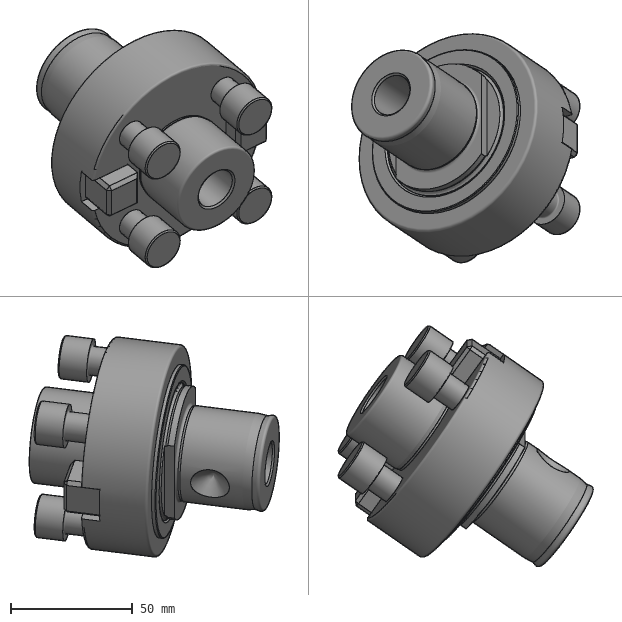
import cadquery as cq
import math


spindle_length = 97.0
spindle_radius = 40.0 / 2
undercut_radius = 39.3 / 2
bore_radius = 17.5 / 2
bore_chamfer = 0.8
front_end_fillet = 1.2
rear_end_fillet = 1.0

v_groove_start = 1.3
v_groove_bottom = 3.4
v_groove_end = 7.1
v_groove_depth = 0.5

dimple_x = 20.9
dimple_radius = 8.1

collar_front = 35.6
collar_radius = 27.7
collar_flat_distance = 21.0
collar_flat_end = 39.8
collar_rim_end = 38.3
undercut_taper_length = 1.0
stub_undercut_fillet = 1.2
collar_groove_radius = 27.3
collar_groove_end = 39.3

neck_radius = 19.4
neck_length = 1.0
rear_step_length = 0.4
rear_taper_length = 1.2

ring_front = 40.2
ring_rear = 42.0
ring_radius = 72.0 / 2
ring_bore_radius = 28.6
ring_bore_chamfer = 0.9
ring_edge_chamfer = 0.4

housing_radius = 88.0 / 2
housing_rear = 70.0
housing_front_fillet = 1.2
housing_rear_fillet = 1.0

key_width = 16.0
key_length = 15.9
key_front = 62.2
key_outer = 41.2
key_height = key_width
key_chamfer = 1.6
key_sides = (-1, 1)

screw_offset = 23.6
screw_places = [(y * screw_offset, z * screw_offset) for y in (-1, 1) for z in (-1, 1)]
screw_radius = 12.0 / 2
screw_head_radius = 18.0 / 2
screw_head_front = 80.0
screw_head_length = 12.1
screw_neck_fillet = 0.6
screw_head_chamfer = 0.6
screw_depth = 3 * screw_radius



def cylinder(x_start, x_end, radius):
    """Solid cylinder along X."""
    return cq.Workplane("YZ", origin=(x_start, 0, 0)).circle(radius).extrude(x_end - x_start)


def revolve_about_x(profile):
    """Turn a closed (x, radius) profile around the X axis."""
    return profile.close().revolve(360, (0, 0, 0), (1, 0, 0))


def concave_corner(profile, x, radius, size):
    """Quarter-round flare from a cylinder at (x, radius) up to a shoulder."""
    shortfall = size * math.sqrt(0.5)
    middle = (x + shortfall, radius + size - shortfall)
    return profile.threePointArc(middle, (x + size, radius + size))



def make_spindle():
    stub_groove_end = collar_front - stub_undercut_fillet
    shoulder_flare = ring_bore_radius - collar_groove_radius
    rear_step = housing_rear + neck_length
    rear_taper = rear_step + rear_step_length

    profile = (
        cq.Workplane("XY")
        .moveTo(0, 0)
        .lineTo(0, spindle_radius)
        .lineTo(v_groove_start, spindle_radius)
        .lineTo(v_groove_bottom, spindle_radius - v_groove_depth)
        .lineTo(v_groove_end, spindle_radius)
        .lineTo(stub_groove_end - undercut_taper_length, spindle_radius)
        .lineTo(stub_groove_end, undercut_radius)
    )
    profile = concave_corner(profile, stub_groove_end, undercut_radius, stub_undercut_fillet)

    profile = (
        profile.lineTo(collar_front, collar_radius)
        .lineTo(collar_rim_end, collar_radius)
        .lineTo(collar_groove_end, collar_groove_radius)
    )
    profile = concave_corner(profile, collar_groove_end, collar_groove_radius, shoulder_flare)

    profile = (
        profile.lineTo(ring_rear, ring_bore_radius)
        .lineTo(ring_rear, neck_radius)
        .lineTo(rear_step, neck_radius)
        .lineTo(rear_step, undercut_radius)
        .lineTo(rear_taper, undercut_radius)
        .lineTo(rear_taper + rear_taper_length, spindle_radius)
        .lineTo(spindle_length, spindle_radius)
        .lineTo(spindle_length, 0)
    )
    spindle = revolve_about_x(profile)
    spindle = spindle.faces("<X").edges().fillet(front_end_fillet)
    spindle = spindle.faces(">X").edges().fillet(rear_end_fillet)

    spindle = spindle.cut(cylinder(0, spindle_length, bore_radius))
    bore_mouths = spindle.faces("<X or >X").edges(cq.selectors.RadiusNthSelector(0))
    spindle = bore_mouths.chamfer(bore_chamfer)

    return spindle.cut(collar_flats()).cut(stub_dimple())


def collar_flats():
    """Material removed to leave two parallel wrench flats on the collar."""
    length = collar_flat_end - collar_front
    middle_x = (collar_front + collar_flat_end) / 2
    cut_thickness = ring_bore_radius - collar_flat_distance
    offset = collar_flat_distance + cut_thickness / 2
    return (
        cq.Workplane("XY", origin=(middle_x, 0, 0))
        .pushPoints([(0, -offset), (0, offset)])
        .box(length, cut_thickness, 2 * ring_bore_radius)
    )


def stub_dimple():
    """Cone removed by the dimple, as deep as its mouth radius."""
    mouth = cq.Vector(dimple_x, spindle_radius, 0)
    inward = cq.Vector(0, -1, 0)
    return cq.Solid.makeCone(dimple_radius, 0, dimple_radius, mouth, inward)



def make_cover_ring():
    ring = cylinder(ring_front, ring_rear, ring_radius)
    ring = ring.faces("<X").edges().chamfer(ring_edge_chamfer)
    ring = ring.cut(cylinder(ring_front, ring_rear, ring_bore_radius))
    return ring.faces("<X").edges(cq.selectors.RadiusNthSelector(0)).chamfer(ring_bore_chamfer)



def make_housing():
    housing = cylinder(ring_rear, housing_rear, housing_radius)
    housing = housing.faces("<X").edges().fillet(housing_front_fillet)
    housing = housing.faces(">X").edges().fillet(housing_rear_fillet)
    housing = housing.cut(cylinder(ring_rear, housing_rear, neck_radius))

    for side in key_sides:
        housing = housing.cut(key_slot(side))

    screw_hole = cylinder(housing_rear - screw_depth, housing_rear, screw_radius)
    for y, z in screw_places:
        housing = housing.cut(screw_hole.translate((0, y, z)))
    return housing


def key_slot(side):
    """Slot for a key, open to the rear face and to the rim."""
    depth = housing_rear - key_front
    inner = key_outer - key_height
    height = housing_radius - inner
    middle = (key_front + depth / 2, side * (inner + height / 2), 0)
    return cq.Workplane("XY", origin=middle).box(depth, height, key_width)



def make_key(side):
    """Square key on the +Y (side = 1) or -Y (side = -1) side of the housing."""
    middle = (key_front + key_length / 2, side * (key_outer - key_height / 2), 0)
    key = cq.Workplane("XY", origin=middle).box(key_length, key_height, key_width)
    outer_face = ">Y" if side > 0 else "<Y"
    rear_edges = key.faces(">X").edges()
    outer_edges = key.faces(outer_face).edges("|X")
    return key.newObject(rear_edges.add(outer_edges).vals()).chamfer(key_chamfer)



def make_screw(y, z):
    """Cap screw along X, with a small flare where the shank meets the head."""
    head_rear = screw_head_front + screw_head_length
    profile = (
        cq.Workplane("XY")
        .moveTo(housing_rear - screw_depth, 0)
        .lineTo(housing_rear - screw_depth, screw_radius)
        .lineTo(screw_head_front - screw_neck_fillet, screw_radius)
    )
    profile = concave_corner(
        profile, screw_head_front - screw_neck_fillet, screw_radius, screw_neck_fillet
    )
    profile = (
        profile.lineTo(screw_head_front, screw_head_radius)
        .lineTo(head_rear - screw_head_chamfer, screw_head_radius)
        .lineTo(head_rear, screw_head_radius - screw_head_chamfer)
        .lineTo(head_rear, 0)
    )
    return revolve_about_x(profile).translate((0, y, z))



spindle = make_spindle()
cover_ring = make_cover_ring()
housing = make_housing()
keys = [make_key(side) for side in key_sides]
screws = [make_screw(y, z) for y, z in screw_places]

result = cq.Compound.makeCompound([
    spindle.val(),
    cover_ring.val(),
    housing.val(),
    *[key.val() for key in keys],
    *[screw.val() for screw in screws],
])